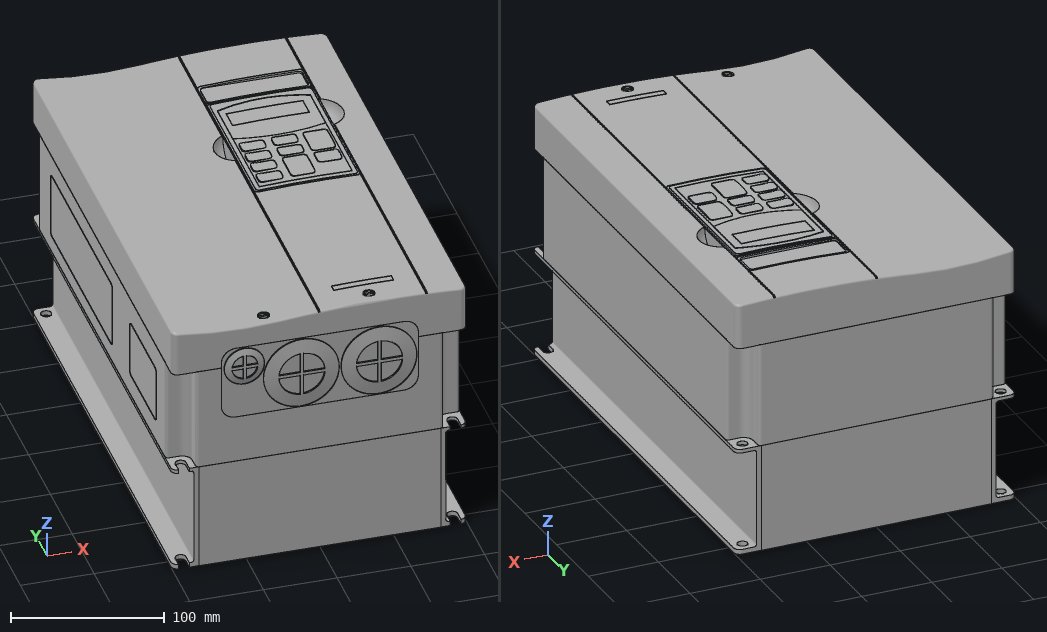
import cadquery as cq
import math

WIDTH = 199.8
LENGTH = 323.0
HALF_WIDTH = WIDTH / 2
BACK = LENGTH / 2
FRONT = -BACK
SEAM_STEP = 0.15

CORE_WIDTH = 164.0
WALL_WIDTH = 171.0
SINK_TOP = 76.5
LOWER_FLANGE = 3.5
UPPER_FLANGE = 2.5
FLANGE_FILLET = 2.0
FLANGE_CORNER = 4.5
MOUNT_DIAMETER = 7.0
MOUNT_INSET = 7.8

COVER_BOTTOM = 149.8
NOTCH_WIDTH = 16.0
NOTCH_LENGTH = 16.0
NOTCH_FILLET = 6.8
NOTCH_ROUND = 2.3
PANEL_DEPTH = 0.3
SIDE_PANEL_CORNER = 3.2
SIDE_PANELS = [(47.8, 111.0, 141.3, 46.5), (-93.0, 111.0, 60.8, 40.0)]

COVER_CORNER = 4.5
COVER_EDGE = 2.0
HOLLOW_X = -53.5
HOLLOW_Z = 178.5
INFLECTION_X = -27.0
CREST_X = 47.8
HOLLOW_RADIUS = 279.5
TURN_ANGLE = math.asin((INFLECTION_X - HOLLOW_X) / HOLLOW_RADIUS)
CREST_RADIUS = (CREST_X - INFLECTION_X) / math.sin(TURN_ANGLE)
CREST_Z = HOLLOW_Z + (HOLLOW_RADIUS + CREST_RADIUS) * (1 - math.cos(TURN_ANGLE))

STRIP_LEFT = -0.3
STRIP_RIGHT = 72.5
STRIP_CENTRE = (STRIP_LEFT + STRIP_RIGHT) / 2
GROOVE_WIDTH = 1.0
GROOVE_DEPTH = 1.0

WINDOW_Y = 109.8
WINDOW_LENGTH = 21.8
WINDOW_DEPTH = 0.3
DISH_LENGTH = 18.2
DISH_DEPTH = 0.5
DISH_EDGE = 2.0
KEYPAD_CORNER = 2.5
RIM = 1.3

KEYPAD_WIDTH = STRIP_RIGHT - STRIP_LEFT - GROOVE_WIDTH
KEYPAD_BOTTOM = -12.7
KEYPAD_TOP = 98.0
KEYPAD_RISE = 0.3
FACE_RISE = 0.5
FACE_LEFT = 4.5
FACE_RIGHT = 67.5
FACE_BOTTOM = -7.5
SCREEN_BOTTOM = 53.3
SCREEN_TOP = 88.0
SCREEN_BULGE = 5.0
KEY_FIELD_RISE = 0.3
SCREEN_RISE = 0.15
DISPLAY_DEPTH = 0.3
DISPLAY_CENTRE = (35.0, 76.0)
DISPLAY_SIZE = (52.0, 14.5)

KEY_TOP_Z = 184.5
KEY_DOME = 0.5
KEY_CORNER = 2.5
KEY_WIDTH = 16.5
KEY_COLUMNS = (14.3, 36.0, 57.5)
KEYS = [
    (0, 35.5, 45.5), (0, 22.5, 32.5), (0, 10.0, 20.0), (0, -3.2, 6.8),
    (1, 35.5, 45.5), (1, 22.5, 32.5), (1, -3.2, 20.0),
    (2, 22.5, 45.5), (2, 7.8, 20.0),
]

SCOOP_RADIUS = 17.2
SCOOP_CENTRES = [(6.5, 44.0), (66.3, 66.5)]

NAMEPLATE_CENTRE = (35.7, -138.5)
NAMEPLATE_SIZE = (40.5, 5.2)
NAMEPLATE_DEPTH = 0.3
SCREW_CENTRES = [(-35.5, -151.7), (36.0, -151.7)]
SCREW_HOLE_DIAMETER = 7.8
SCREW_HEAD_DIAMETER = 6.2
SCREW_HOLE_DEPTH = 1.3
SCREW_HEAD_DEPTH = 0.3
SCREW_SLOT = 1.5

ENTRY_CENTRE = (0.0, 136.8)
ENTRY_SIZE = (133.5, 53.0)
ENTRY_CORNER = 9.7
ENTRY_THICKNESS = 6.5
GROMMET_RISE = 2.0
GROMMET_RIM = 0.5
MEMBRANE_DEPTH = 1.3
RIB_WIDTH = 2.3
GROMMETS = [
    (-51.3, 148.8, 13.5, 8.8),
    (-12.7, 136.8, 25.7, 15.5),
    (40.0, 136.8, 25.7, 15.5),
]

PRISM_BOTTOM = 162.5
PRISM_HEIGHT = 32.5
REACH = 0.3


def crown_z(x):
    """Height of the cover top at the given X."""
    if x < INFLECTION_X:
        return HOLLOW_Z + HOLLOW_RADIUS - math.sqrt(HOLLOW_RADIUS**2 - (x - HOLLOW_X)**2)
    return CREST_Z - CREST_RADIUS + math.sqrt(CREST_RADIUS**2 - (x - CREST_X)**2)


def under_crown(offset):
    """Full-size block whose wavy top lies the given offset above the cover top."""
    def point(x):
        return (x, crown_z(x) + offset)

    return (
        cq.Workplane("XZ", origin=(0, BACK, 0))
        .moveTo(-HALF_WIDTH, COVER_BOTTOM)
        .lineTo(*point(-HALF_WIDTH))
        .threePointArc(point(HOLLOW_X), point(INFLECTION_X))
        .threePointArc(point(CREST_X), point(HALF_WIDTH))
        .lineTo(HALF_WIDTH, COVER_BOTTOM)
        .close()
        .extrude(LENGTH)
    )


def upright():
    """Workplane for outlines that run up through the cover top."""
    return cq.Workplane("XY", origin=(0, 0, PRISM_BOTTOM))


def upright_box(centre, size, corner=0.0):
    box = upright().center(*centre).rect(*size).extrude(PRISM_HEIGHT)
    return box.edges("|Z").fillet(corner) if corner else box


def raise_to(solid, prism, rise):
    """Add the prism, topped parallel to the cover."""
    return solid.union(prism.intersect(under_crown(rise)))


def lower_to(solid, prism, rise):
    """Remove the prism down to a floor parallel to the cover."""
    return solid.cut(prism.cut(under_crown(rise)))


def make_heat_sink():
    """Solid core between two flanged side walls, with holes at the back and open slots in front."""
    core = cq.Workplane("XY").box(
        CORE_WIDTH, LENGTH, SINK_TOP, centered=(True, True, False)
    )
    side_length = LENGTH - 2 * SEAM_STEP
    walls = cq.Workplane("XY").box(
        WALL_WIDTH, side_length, SINK_TOP, centered=(True, True, False)
    )
    for bottom, thickness in ((0, LOWER_FLANGE), (SINK_TOP - UPPER_FLANGE, UPPER_FLANGE)):
        flange = (
            cq.Workplane("XY", origin=(0, 0, bottom))
            .rect(WIDTH, side_length)
            .extrude(thickness)
            .edges("|Z")
            .fillet(FLANGE_CORNER)
        )
        walls = walls.union(flange)
    for root_x in (-WALL_WIDTH / 2, WALL_WIDTH / 2):
        for root_z in (LOWER_FLANGE, SINK_TOP - UPPER_FLANGE):
            root = cq.selectors.BoxSelector(
                (root_x - REACH, -LENGTH, root_z - REACH),
                (root_x + REACH, LENGTH, root_z + REACH),
            )
            walls = walls.edges(root).fillet(FLANGE_FILLET)

    hole_x = HALF_WIDTH - MOUNT_INSET
    hole_y = BACK - MOUNT_INSET
    holes = (
        cq.Workplane("XY")
        .pushPoints([(-hole_x, hole_y), (hole_x, hole_y), (-hole_x, -hole_y), (hole_x, -hole_y)])
        .circle(MOUNT_DIAMETER / 2)
        .extrude(SINK_TOP)
    )
    slots = (
        cq.Workplane("XY")
        .pushPoints([(-hole_x, FRONT), (hole_x, FRONT)])
        .rect(MOUNT_DIAMETER, 2 * MOUNT_INSET)
        .extrude(SINK_TOP)
    )
    return walls.cut(holes).cut(slots).union(core)


def make_body():
    """Body with notched corners and shallow panels on the -X side."""
    width = WIDTH - 2 * SEAM_STEP
    length = LENGTH - 2 * SEAM_STEP
    height = COVER_BOTTOM - SINK_TOP
    plane = cq.Workplane("XY", origin=(0, 0, SINK_TOP))
    notches = (
        plane.rect(width, length, forConstruction=True)
        .vertices()
        .rect(2 * NOTCH_WIDTH, 2 * NOTCH_LENGTH)
        .extrude(height)
        .edges("|Z")
        .fillet(NOTCH_FILLET)
    )
    body = plane.rect(width, length).extrude(height).cut(notches)
    for face in ("<X", ">X", "<Y", ">Y"):
        body = body.faces(face).edges("|Z").fillet(NOTCH_ROUND)

    for y, z, panel_length, panel_height in SIDE_PANELS:
        panel = (
            cq.Workplane("YZ", origin=(-width / 2, y, z))
            .rect(panel_length, panel_height)
            .extrude(PANEL_DEPTH)
            .edges("|X")
            .fillet(SIDE_PANEL_CORNER)
        )
        body = body.cut(panel)
    return body


def make_cover():
    """Cover shell with rounded corners and a rounded top border."""
    cover = under_crown(0).edges("|Z").fillet(COVER_CORNER)
    border_bottom = HOLLOW_Z - COVER_EDGE
    border_top = CREST_Z + COVER_EDGE
    top_edges = cq.selectors.BoxSelector(
        (-WIDTH, -LENGTH, border_bottom), (WIDTH, LENGTH, border_top)
    )
    meeting_line = cq.selectors.BoxSelector(
        (INFLECTION_X - REACH, -REACH, border_bottom), (INFLECTION_X + REACH, REACH, border_top)
    )
    return cover.edges(top_edges - meeting_line).fillet(COVER_EDGE)


def add_scoops(solid):
    """Spherical finger scoops, kept clear of the centre strip."""
    strip = upright_box((STRIP_CENTRE, 0), (STRIP_RIGHT - STRIP_LEFT, LENGTH))
    for x, y in SCOOP_CENTRES:
        ball = cq.Workplane("XY").sphere(SCOOP_RADIUS).translate((x, y, crown_z(x)))
        solid = solid.cut(ball.cut(strip))
    return solid


def add_grooves(solid):
    for x in (STRIP_LEFT, STRIP_RIGHT):
        solid = lower_to(solid, upright_box((x, 0), (GROOVE_WIDTH, LENGTH)), -GROOVE_DEPTH)
    return solid


def add_window(solid):
    """Shallow recess with a dished floor."""
    centre = (STRIP_CENTRE, WINDOW_Y)
    solid = lower_to(
        solid, upright_box(centre, (KEYPAD_WIDTH, WINDOW_LENGTH), KEYPAD_CORNER), -WINDOW_DEPTH
    )
    radius = ((DISH_LENGTH / 2)**2 + DISH_DEPTH**2) / (2 * DISH_DEPTH)
    roller = (
        cq.Workplane("YZ", origin=(0, WINDOW_Y, CREST_Z - DISH_EDGE - DISH_DEPTH + radius))
        .circle(radius)
        .extrude(HALF_WIDTH)
    )
    dish = upright_box(centre, (KEYPAD_WIDTH - 2 * RIM, DISH_LENGTH), KEYPAD_CORNER)
    headroom = upright_box(centre, (KEYPAD_WIDTH, DISH_LENGTH)).translate(
        (0, 0, CREST_Z - DISH_EDGE - PRISM_BOTTOM)
    )
    return solid.cut(dish.intersect(roller.union(headroom)))


def add_keypad(solid):
    """Raised keypad face with a sunk key field, an arched screen and a display."""
    centre = (STRIP_CENTRE, (KEYPAD_TOP + KEYPAD_BOTTOM) / 2)
    length = KEYPAD_TOP - KEYPAD_BOTTOM
    outer = upright_box(centre, (KEYPAD_WIDTH, length), KEYPAD_CORNER)
    inner = upright_box(centre, (KEYPAD_WIDTH - 2 * RIM, length - 2 * RIM), KEYPAD_CORNER)
    solid = raise_to(solid, outer, KEYPAD_RISE)
    solid = raise_to(solid, inner, FACE_RISE)

    face_x = (FACE_LEFT + FACE_RIGHT) / 2
    upper_arc = ((face_x, SCREEN_TOP + SCREEN_BULGE), (FACE_RIGHT, SCREEN_TOP))
    key_field = (
        upright()
        .moveTo(FACE_LEFT, FACE_BOTTOM)
        .lineTo(FACE_LEFT, SCREEN_TOP)
        .threePointArc(*upper_arc)
        .lineTo(FACE_RIGHT, FACE_BOTTOM)
        .close()
        .extrude(PRISM_HEIGHT)
    )
    screen = (
        upright()
        .moveTo(FACE_LEFT, SCREEN_BOTTOM)
        .lineTo(FACE_LEFT, SCREEN_TOP)
        .threePointArc(*upper_arc)
        .lineTo(FACE_RIGHT, SCREEN_BOTTOM)
        .threePointArc((face_x, SCREEN_BOTTOM - SCREEN_BULGE), (FACE_LEFT, SCREEN_BOTTOM))
        .close()
        .extrude(PRISM_HEIGHT)
    )
    solid = lower_to(solid, key_field, KEY_FIELD_RISE)
    solid = lower_to(solid, screen, SCREEN_RISE)
    return lower_to(solid, upright_box(DISPLAY_CENTRE, DISPLAY_SIZE), SCREEN_RISE - DISPLAY_DEPTH)


def add_keys(solid):
    """Rounded keys, domed across Y."""
    key_rise = KEY_TOP_Z - crown_z(KEY_COLUMNS[-1])
    for column, lower, upper in KEYS:
        x = KEY_COLUMNS[column]
        y = (lower + upper) / 2
        half_length = (upper - lower) / 2
        radius = (half_length**2 + KEY_DOME**2) / (2 * KEY_DOME)
        dome = (
            cq.Workplane("YZ", origin=(0, y, crown_z(x) + key_rise - radius))
            .circle(radius)
            .extrude(HALF_WIDTH)
        )
        key = upright_box((x, y), (KEY_WIDTH, upper - lower), KEY_CORNER)
        solid = solid.union(key.intersect(dome))
    return solid


def add_nameplate(solid):
    return lower_to(solid, upright_box(NAMEPLATE_CENTRE, NAMEPLATE_SIZE), -NAMEPLATE_DEPTH)


def add_screws(solid):
    """Sunk screw heads, slotted along X."""
    for centre in SCREW_CENTRES:
        hole = upright().center(*centre).circle(SCREW_HOLE_DIAMETER / 2).extrude(PRISM_HEIGHT)
        head = upright().center(*centre).circle(SCREW_HEAD_DIAMETER / 2).extrude(PRISM_HEIGHT)
        slot = upright_box(centre, (SCREW_HEAD_DIAMETER, SCREW_SLOT))
        solid = lower_to(solid, hole, -SCREW_HOLE_DEPTH)
        solid = raise_to(solid, head.cut(slot), -SCREW_HEAD_DEPTH)
    return solid


def add_cable_entry(solid):
    """Entry plate set between the front faces of cover and body, with its grommets."""
    plate_y = FRONT + SEAM_STEP / 2
    plate = (
        cq.Workplane("XZ", origin=(ENTRY_CENTRE[0], FRONT + ENTRY_THICKNESS, ENTRY_CENTRE[1]))
        .rect(*ENTRY_SIZE)
        .extrude(ENTRY_THICKNESS)
        .edges("|Y")
        .fillet(ENTRY_CORNER)
    )
    solid = solid.cut(plate).union(plate.translate((0, plate_y - FRONT, 0)))
    for x, z, outer, inner in GROMMETS:
        solid = solid.union(make_grommet(outer, inner, plate_y).translate((x, 0, z)))
    return solid


def make_grommet(outer, inner, base_y):
    """Conical grommet pointing along -Y, with a sunk membrane and a cross rib."""
    tip = FRONT - GROMMET_RISE
    rim = FRONT - GROMMET_RIM
    floor = tip + MEMBRANE_DEPTH
    ring = (
        cq.Workplane("XY")
        .polyline([(0, base_y), (outer, base_y), (outer, rim), (inner, tip), (inner, floor), (0, floor)])
        .close()
        .revolve(360, (0, 0, 0), (0, 1, 0))
    )
    bars = cq.Workplane("XZ", origin=(0, floor, 0)).rect(2 * inner, RIB_WIDTH).extrude(MEMBRANE_DEPTH)
    bars = bars.union(bars.rotate((0, 0, 0), (0, 1, 0), 90))
    disc = cq.Workplane("XZ", origin=(0, floor, 0)).circle(inner).extrude(MEMBRANE_DEPTH)
    return ring.union(bars.intersect(disc))


result = make_heat_sink().union(make_body()).union(make_cover())
result = add_grooves(result)
result = add_scoops(result)
result = add_window(result)
result = add_keypad(result)
result = add_keys(result)
result = add_nameplate(result)
result = add_screws(result)
result = add_cable_entry(result)